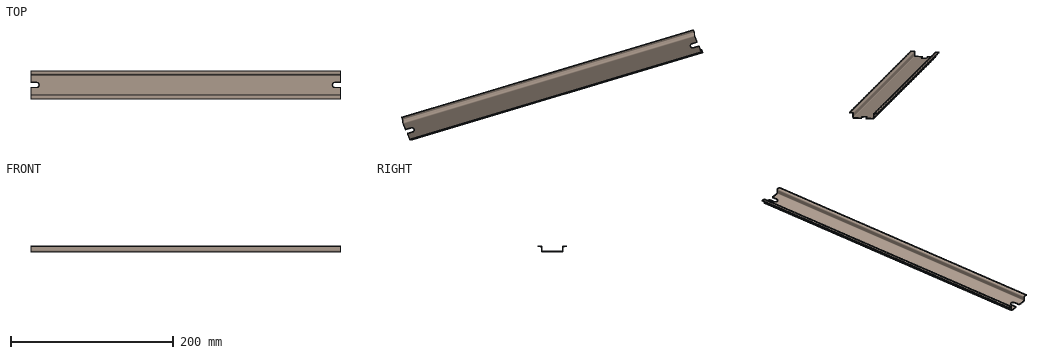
import cadquery as cq

length = 382.0
rail_width = 35.0
rail_height = 7.5
sheet = 1.0
channel_width = 27.0
inner_bend_radius = 0.8
outer_bend_radius = inner_bend_radius + sheet

slot_width = 6.2
slot_depth = 10.0


def rail_body():
    """Extrude the hat profile, then round its bends."""
    half_rail = rail_width / 2
    half_outer = channel_width / 2
    half_inner = half_outer - sheet
    flange_underside = rail_height - sheet

    right_half = [
        (half_outer, 0),
        (half_outer, flange_underside),
        (half_rail, flange_underside),
        (half_rail, rail_height),
        (half_inner, rail_height),
        (half_inner, sheet),
    ]
    left_half = [(-y, z) for y, z in reversed(right_half)]
    body = (
        cq.Workplane("YZ")
        .polyline(right_half + left_half)
        .close()
        .extrude(length / 2, both=True)
    )

    inside_bends = [(half_outer, flange_underside), (half_inner, sheet)]
    outside_bends = [(half_outer, 0), (half_inner, rail_height)]
    body = round_bends(body, inside_bends, inner_bend_radius)
    return round_bends(body, outside_bends, outer_bend_radius)


def round_bends(body, bends, radius):
    """Fillet the lengthwise edges at the given (y, z) places on both sides."""
    for y, z in bends:
        for side in (1, -1):
            edge = cq.selectors.NearestToPointSelector((0, side * y, z))
            body = body.edges("|X").edges(edge).fillet(radius)
    return body


def end_slot(end):
    """Cutter for the round-bottomed slot at one end, overhanging so that its mouth stays straight."""
    return (
        cq.Workplane("XY")
        .center(end * length / 2, 0)
        .slot2D(2 * slot_depth, slot_width)
        .extrude(sheet)
    )


result = rail_body()
for end in (-1, 1):
    result = result.cut(end_slot(end))